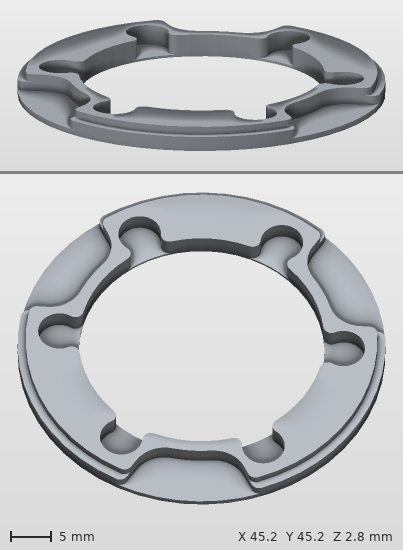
import cadquery as cq
import math

OUTER_RADIUS = 22.6
BORE_RADIUS = 15.1
TOTAL_HEIGHT = 2.8
SOCKET_FLOOR_HEIGHT = 0.3
POCKET_FLOOR_HEIGHT = 0.7
SHOULDER_HEIGHT = 1.8
STEP_WIDTH = 1.0
UPPER_RADIUS = OUTER_RADIUS - STEP_WIDTH

SOCKET_COUNT = 6
SOCKET_RADIUS = 2.6
SOCKET_CENTER_RADIUS = 17.5
MOUTH_FILLET = 1.0

POCKET_COUNT = 3
FIRST_POCKET_ANGLE = 30.0
POCKET_INNER_RADIUS = 16.55
POCKET_HALF_ANGLE = 30.0
POCKET_SIDE_OFFSET = 3.5
POCKET_FILLET = 4.1
RIM_FILLET = 1.0
CUT_MARGIN = 2.25


def annulus(radius, bottom, top):
    """Flat ring around the bore."""
    return (
        cq.Workplane("XY").workplane(offset=bottom)
        .circle(radius).circle(BORE_RADIUS).extrude(top - bottom)
    )


def polar(radius, angle):
    """Point at a radius and an angle in radians."""
    return (radius * math.cos(angle), radius * math.sin(angle))


def mirrored(point):
    """Point reflected across the X axis."""
    return (point[0], -point[1])


def toward(start, target, distance):
    """Point at a distance from start in the direction of target."""
    angle = math.atan2(target[1] - start[1], target[0] - start[0])
    dx, dy = polar(distance, angle)
    return (start[0] + dx, start[1] + dy)


def socket_cutter():
    """Socket on the X axis with its mouth rounded tangentially into the bore."""
    axis = (0.0, 0.0)
    center = (SOCKET_CENTER_RADIUS, 0.0)
    fillet_distance = BORE_RADIUS + MOUTH_FILLET
    center_gap = SOCKET_RADIUS + MOUTH_FILLET
    cos_angle = (fillet_distance**2 + SOCKET_CENTER_RADIUS**2 - center_gap**2) / (
        2 * fillet_distance * SOCKET_CENTER_RADIUS
    )
    fillet_center = polar(fillet_distance, math.acos(cos_angle))
    bore_point = toward(axis, fillet_center, BORE_RADIUS)
    socket_point = toward(center, fillet_center, SOCKET_RADIUS)
    middle = ((bore_point[0] + socket_point[0]) / 2, (bore_point[1] + socket_point[1]) / 2)
    fillet_middle = toward(fillet_center, middle, MOUTH_FILLET)
    inner_x = BORE_RADIUS - CUT_MARGIN
    return (
        cq.Workplane("XY").workplane(offset=SOCKET_FLOOR_HEIGHT)
        .moveTo(inner_x, bore_point[1])
        .lineTo(*bore_point)
        .threePointArc(fillet_middle, socket_point)
        .threePointArc((SOCKET_CENTER_RADIUS + SOCKET_RADIUS, 0), mirrored(socket_point))
        .threePointArc(mirrored(fillet_middle), mirrored(bore_point))
        .lineTo(inner_x, -bore_point[1])
        .close()
        .extrude(TOTAL_HEIGHT)
    )


def pocket_cutter(rim_radius, bottom, top):
    """Pocket on the X axis, with its sides rounded into a rim of the given radius."""
    half_angle = math.radians(POCKET_HALF_ANGLE)

    def side_frame(along, offset):
        """Point at a distance along the pocket side and an offset from the ring axis."""
        return (
            along * math.cos(half_angle) + offset * math.sin(half_angle),
            along * math.sin(half_angle) - offset * math.cos(half_angle),
        )

    inner_distance = POCKET_INNER_RADIUS + POCKET_FILLET
    inner_offset = POCKET_SIDE_OFFSET + POCKET_FILLET
    inner_along = math.sqrt(inner_distance**2 - inner_offset**2)
    inner_center = side_frame(inner_along, inner_offset)
    arc_point = toward((0, 0), inner_center, POCKET_INNER_RADIUS)
    side_start = side_frame(inner_along, POCKET_SIDE_OFFSET)
    inner_middle = toward(
        inner_center,
        ((arc_point[0] + side_start[0]) / 2, (arc_point[1] + side_start[1]) / 2),
        POCKET_FILLET,
    )

    rim_offset = POCKET_SIDE_OFFSET - RIM_FILLET
    rim_along = math.sqrt((rim_radius - RIM_FILLET) ** 2 - rim_offset**2)
    rim_center = side_frame(rim_along, rim_offset)
    side_end = side_frame(rim_along, POCKET_SIDE_OFFSET)
    rim_point = toward((0, 0), rim_center, rim_radius)
    rim_middle = toward(
        rim_center,
        ((side_end[0] + rim_point[0]) / 2, (side_end[1] + rim_point[1]) / 2),
        RIM_FILLET,
    )
    outer_point = toward((0, 0), rim_point, rim_radius + CUT_MARGIN)

    return (
        cq.Workplane("XY").workplane(offset=bottom)
        .moveTo(*mirrored(arc_point))
        .threePointArc((POCKET_INNER_RADIUS, 0), arc_point)
        .threePointArc(inner_middle, side_start)
        .lineTo(*side_end)
        .threePointArc(rim_middle, rim_point)
        .lineTo(*outer_point)
        .threePointArc((rim_radius + CUT_MARGIN, 0), mirrored(outer_point))
        .lineTo(*mirrored(rim_point))
        .threePointArc(mirrored(rim_middle), mirrored(side_end))
        .lineTo(*mirrored(side_start))
        .threePointArc(mirrored(inner_middle), mirrored(arc_point))
        .close()
        .extrude(top - bottom)
    )


def cut_around(body, cutter, count, first_angle=0.0):
    """Cut equally spaced copies of a cutter around the ring axis."""
    for index in range(count):
        angle = first_angle + index * 360.0 / count
        body = body.cut(cutter.rotate((0, 0, 0), (0, 0, 1), angle))
    return body


lower_pocket = pocket_cutter(OUTER_RADIUS, POCKET_FLOOR_HEIGHT, SHOULDER_HEIGHT)
upper_pocket = pocket_cutter(UPPER_RADIUS, SHOULDER_HEIGHT, TOTAL_HEIGHT)
lower_step = cut_around(
    annulus(OUTER_RADIUS, 0, SHOULDER_HEIGHT), lower_pocket, POCKET_COUNT, FIRST_POCKET_ANGLE
)
upper_step = cut_around(
    annulus(UPPER_RADIUS, SHOULDER_HEIGHT, TOTAL_HEIGHT), upper_pocket, POCKET_COUNT, FIRST_POCKET_ANGLE
)
result = cut_around(lower_step.union(upper_step), socket_cutter(), SOCKET_COUNT)